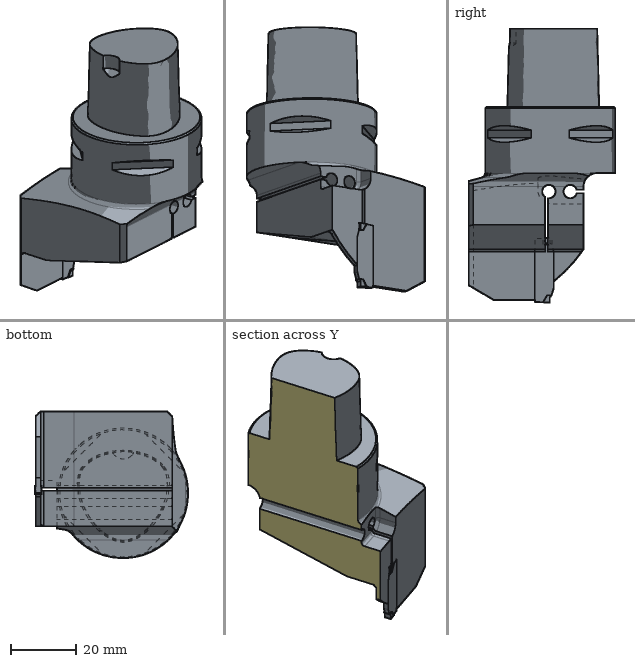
import cadquery as cq
import math


TOTAL_HEIGHT = 84
TOTAL_WIDTH = 47

CLEARANCE = 0.8

SHANK_LENGTH = 23.9
SHANK_BASE_RADIUS = 14.1
SHANK_TAPER = 1 / 40
LOBE_SIZE = 0.9
LOBE_COUNT = 3
OUTLINE_POINTS = 36

NOTCH_RADIUS = 3.6
NOTCH_AXIS_Y = -14.1
NOTCH_DEPTH = 4.4
NOTCH_POINT_DEPTH = 2.9

FLANGE_RADIUS = 40.0 / 2
FLANGE_HEIGHT = 20.3
FLANGE_CHAMFER = 0.5
GROOVE_Z = -8.3
GROOVE_FLOOR_DISTANCE = 17.6
GROOVE_FLOOR_WIDTH = 2.35
GROOVE_FLANK_ANGLE = 30
GROOVE_LENGTH = 2 * FLANGE_RADIUS
GROOVE_COUNT = 4

INSERT_BOTTOM = SHANK_LENGTH - TOTAL_HEIGHT
INSERT_LENGTH = 20.0
INSERT_FRONT = 1.1
INSERT_BACK = -4.7
INSERT_RAKE_Y = -0.1
INSERT_RIDGE_HALF = 5.55
INSERT_HEAD_HALF = 7.7
INSERT_RAKE_HALF = 8.3
INSERT_HEAD_Y = 0.4
HEAD_CORNER_Y = -0.9
HEAD_BACK_Y = -2.3
END_RELIEF = 0.25
HEAD_WIDTH = 2.1
HEAD_OVERHANG = 0.25

BLOCK_BACK = 10.25
BLOCK_FRONT = -25.0
BLOCK_RIGHT = 15.0
HEAD_LEFT = FLANGE_RADIUS - TOTAL_WIDTH
BLOCK_LEFT = HEAD_LEFT + HEAD_OVERHANG
BLOCK_BOTTOM = -43.6
UNDERSIDE_KNEE_X = -15.1
UNDERSIDE_RIGHT_Z = -36.1
FLARE_RADIUS = 4.0
CORNER_CHAMFER = 1.5
SHOULDER_ANGLE = 15
SHOULDER_FILLET = 1.35

REACH = 50.4
OPEN_BACK_Y = BLOCK_BACK + 2 * FLARE_RADIUS

BLADE_THICKNESS = 1.6
BLADE_BACK_X = BLOCK_LEFT + BLADE_THICKNESS
BLADE_BOTTOM = -59.2
BLADE_ROOT_CHAMFER = 0.8
BLADE_FRONT_KNEE_Y = -17.3
BLADE_FRONT_CORNER_Z = -54.7
BLADE_ARC_MIDDLE = (5.7, -49.2)
BLADE_ARC_END_Z = -53.5

POCKET_WALL_X = -20.25
POCKET_FLOOR_Z = -29.65
POCKET_END_Y = -3.9
POCKET_CORNER_RADIUS = 4.2
POCKET_FILLET = 1.0

FLEX_HOLE_DIAMETER = 4.0
FLEX_HOLE_Z = -25.95
OUTER_HOLE_Y = 6.1
INNER_HOLE_Y = -0.4
OUTER_SLOT_WIDTH = 1.0
SLIT_Y = -1.2
SLIT_WIDTH = 0.8


def lobed_wire(radius, z):
    """Outline whose tangents lie at a distance of radius + LOBE_SIZE * cos(phase) from the axis."""
    points = []
    for i in range(OUTLINE_POINTS):
        angle = 2 * math.pi * i / OUTLINE_POINTS
        phase = LOBE_COUNT * (angle - math.pi / 2)
        support = radius + LOBE_SIZE * math.cos(phase)
        slope = -LOBE_COUNT * LOBE_SIZE * math.sin(phase)
        x = support * math.cos(angle) - slope * math.sin(angle)
        y = support * math.sin(angle) + slope * math.cos(angle)
        points.append(cq.Vector(x, y, z))
    return cq.Wire.assembleEdges([cq.Edge.makeSpline(points, periodic=True)])


def make_shank():
    end_radius = SHANK_BASE_RADIUS - SHANK_TAPER * SHANK_LENGTH
    base = lobed_wire(SHANK_BASE_RADIUS, 0)
    end = lobed_wire(end_radius, SHANK_LENGTH)
    shank = cq.Workplane(cq.Solid.makeLoft([base, end], True))

    shoulder_z = SHANK_LENGTH - NOTCH_DEPTH
    notch = (
        cq.Workplane("XZ")
        .moveTo(0, SHANK_LENGTH + CLEARANCE)
        .lineTo(NOTCH_RADIUS, SHANK_LENGTH + CLEARANCE)
        .lineTo(NOTCH_RADIUS, shoulder_z)
        .lineTo(0, shoulder_z - NOTCH_POINT_DEPTH)
        .close()
        .revolve(360, (0, 0, 0), (0, 1, 0))
        .translate((0, NOTCH_AXIS_Y, 0))
    )
    return shank.cut(notch)


def make_flange():
    flange = cq.Workplane("XY").circle(FLANGE_RADIUS).extrude(-FLANGE_HEIGHT)
    flange = flange.faces(">Z").chamfer(FLANGE_CHAMFER)

    rim_distance = FLANGE_RADIUS + CLEARANCE
    floor_half = GROOVE_FLOOR_WIDTH / 2
    flank = math.tan(math.radians(GROOVE_FLANK_ANGLE))
    rim_half = floor_half + (rim_distance - GROOVE_FLOOR_DISTANCE) * flank
    groove = (
        cq.Workplane("XZ")
        .moveTo(GROOVE_FLOOR_DISTANCE, GROOVE_Z - floor_half)
        .lineTo(rim_distance, GROOVE_Z - rim_half)
        .lineTo(rim_distance, GROOVE_Z + rim_half)
        .lineTo(GROOVE_FLOOR_DISTANCE, GROOVE_Z + floor_half)
        .close()
        .extrude(GROOVE_LENGTH / 2, both=True)
    )
    step = 360 / GROOVE_COUNT
    for i in range(GROOVE_COUNT):
        flange = flange.cut(groove.rotate((0, 0, 0), (0, 0, 1), (i + 0.5) * step))
    return flange


def make_block():
    """Block and blade: the common volume of three outlines and the conical shoulder."""
    top = -FLANGE_HEIGHT
    flare_end = top - FLARE_RADIUS
    flare_sag = FLARE_RADIUS * (1 - math.sqrt(0.5))

    along_y = (
        cq.Workplane("XZ")
        .moveTo(BLOCK_LEFT, top)
        .lineTo(BLOCK_RIGHT + FLARE_RADIUS, top)
        .threePointArc((BLOCK_RIGHT + flare_sag, top - flare_sag), (BLOCK_RIGHT, flare_end))
        .lineTo(BLOCK_RIGHT, UNDERSIDE_RIGHT_Z)
        .lineTo(UNDERSIDE_KNEE_X, BLOCK_BOTTOM)
        .lineTo(BLADE_BACK_X + BLADE_ROOT_CHAMFER, BLOCK_BOTTOM)
        .lineTo(BLADE_BACK_X, BLOCK_BOTTOM - BLADE_ROOT_CHAMFER)
        .lineTo(BLADE_BACK_X, BLADE_BOTTOM)
        .lineTo(BLOCK_LEFT, BLADE_BOTTOM)
        .close()
        .extrude(REACH, both=True)
    )
    along_x = (
        cq.Workplane("YZ")
        .moveTo(BLOCK_FRONT, top)
        .lineTo(BLOCK_BACK + FLARE_RADIUS, top)
        .threePointArc((BLOCK_BACK + flare_sag, top - flare_sag), (BLOCK_BACK, flare_end))
        .lineTo(BLOCK_BACK, BLOCK_BOTTOM)
        .threePointArc(BLADE_ARC_MIDDLE, (INSERT_FRONT, BLADE_ARC_END_Z))
        .lineTo(INSERT_BACK, BLADE_ARC_END_Z)
        .lineTo(INSERT_BACK, BLADE_BOTTOM)
        .lineTo(BLADE_FRONT_KNEE_Y, BLADE_BOTTOM)
        .lineTo(BLOCK_FRONT, BLADE_FRONT_CORNER_Z)
        .close()
        .extrude(REACH, both=True)
    )
    along_z = (
        cq.Workplane("XY")
        .workplane(offset=INSERT_BOTTOM)
        .moveTo(BLOCK_LEFT, REACH)
        .lineTo(BLOCK_LEFT, BLOCK_FRONT + CORNER_CHAMFER)
        .lineTo(BLOCK_LEFT + CORNER_CHAMFER, BLOCK_FRONT)
        .lineTo(BLOCK_RIGHT - CORNER_CHAMFER, BLOCK_FRONT)
        .lineTo(BLOCK_RIGHT, BLOCK_FRONT + CORNER_CHAMFER)
        .lineTo(BLOCK_RIGHT + FLARE_RADIUS, BLOCK_FRONT + CORNER_CHAMFER)
        .lineTo(BLOCK_RIGHT + FLARE_RADIUS, REACH)
        .close()
        .extrude(-INSERT_BOTTOM)
    )
    return along_y.intersect(along_x).intersect(along_z).intersect(make_shoulder())


def make_shoulder():
    """Solid under a cone that leaves the flange rim through a small fillet."""
    slope = math.radians(SHOULDER_ANGLE)
    turn = math.pi / 2 - slope
    top = -FLANGE_HEIGHT
    tangent = SHOULDER_FILLET * math.tan(turn / 2)
    corner_z = top - tangent
    fillet_end = (FLANGE_RADIUS + tangent * math.cos(slope), corner_z - tangent * math.sin(slope))
    fillet_middle = (
        FLANGE_RADIUS + SHOULDER_FILLET * (1 - math.cos(turn / 2)),
        top - SHOULDER_FILLET * math.sin(turn / 2),
    )
    rim_z = corner_z - (REACH - FLANGE_RADIUS) * math.tan(slope)
    return (
        cq.Workplane("XZ")
        .moveTo(0, top)
        .lineTo(FLANGE_RADIUS, top)
        .threePointArc(fillet_middle, fillet_end)
        .lineTo(REACH, rim_z)
        .lineTo(REACH, INSERT_BOTTOM)
        .lineTo(0, INSERT_BOTTOM)
        .close()
        .revolve(360, (0, 0, 0), (0, 1, 0))
    )


def make_side_pocket():
    """Recess above the finger, rounded at its inner end and along its wall."""
    return (
        cq.Workplane("YZ")
        .workplane(offset=POCKET_WALL_X)
        .moveTo(POCKET_END_Y, -FLANGE_HEIGHT)
        .lineTo(POCKET_END_Y, POCKET_FLOOR_Z + POCKET_CORNER_RADIUS)
        .radiusArc((POCKET_END_Y + POCKET_CORNER_RADIUS, POCKET_FLOOR_Z), -POCKET_CORNER_RADIUS)
        .lineTo(OPEN_BACK_Y, POCKET_FLOOR_Z)
        .lineTo(OPEN_BACK_Y, -FLANGE_HEIGHT)
        .close()
        .extrude(HEAD_LEFT - POCKET_WALL_X)
        .faces(">X")
        .edges("<Z or <Y or %CIRCLE")
        .fillet(POCKET_FILLET)
    )


def cross_bar(y_min, y_max, z_min, z_max):
    """Bar along X through the whole block."""
    bar = cq.Workplane("XY").box(2 * REACH, y_max - y_min, z_max - z_min)
    return bar.translate((0, (y_min + y_max) / 2, (z_min + z_max) / 2))


def make_flexure():
    """Two cross holes, the slot out to the back and the slit down to the insert."""
    half_slot = OUTER_SLOT_WIDTH / 2
    half_slit = SLIT_WIDTH / 2
    holes = (
        cq.Workplane("YZ")
        .pushPoints([(OUTER_HOLE_Y, FLEX_HOLE_Z), (INNER_HOLE_Y, FLEX_HOLE_Z)])
        .circle(FLEX_HOLE_DIAMETER / 2)
        .extrude(REACH, both=True)
    )
    slot = cross_bar(OUTER_HOLE_Y, OPEN_BACK_Y, FLEX_HOLE_Z - half_slot, FLEX_HOLE_Z + half_slot)
    slit_bottom = BLOCK_BOTTOM - BLADE_ROOT_CHAMFER
    slit = cross_bar(SLIT_Y - half_slit, SLIT_Y + half_slit, slit_bottom, FLEX_HOLE_Z)
    return holes.union(slot).union(slit)


def make_insert():
    """Double-ended insert: a flat body with a wider cutting head at each end."""
    middle_z = INSERT_BOTTOM + INSERT_LENGTH / 2
    half = INSERT_LENGTH / 2
    end_profile = [
        (INSERT_FRONT, 0),
        (INSERT_FRONT, -INSERT_RIDGE_HALF),
        (INSERT_HEAD_Y, -INSERT_HEAD_HALF),
        (INSERT_RAKE_Y, -INSERT_RAKE_HALF),
        (INSERT_RAKE_Y, -half),
        (INSERT_BACK, -half + END_RELIEF),
        (INSERT_BACK, 0),
    ]
    relief_at_head = END_RELIEF * (INSERT_RAKE_Y - HEAD_BACK_Y) / (INSERT_RAKE_Y - INSERT_BACK)
    head_profile = [
        (INSERT_HEAD_Y, -INSERT_HEAD_HALF),
        (INSERT_RAKE_Y, -INSERT_RAKE_HALF),
        (INSERT_RAKE_Y, -half),
        (HEAD_BACK_Y, -half + relief_at_head),
        (HEAD_CORNER_Y, -INSERT_HEAD_HALF),
    ]
    body_end = cq.Workplane("YZ").workplane(offset=BLOCK_LEFT).polyline(end_profile).close()
    head = cq.Workplane("YZ").workplane(offset=HEAD_LEFT).polyline(head_profile).close()
    lower = body_end.extrude(BLADE_THICKNESS).union(head.extrude(HEAD_WIDTH))
    upper = lower.mirror("XY")
    return lower.union(upper).clean().translate((0, 0, middle_z))


def make_insert_clearance():
    """Open space around the unused upper cutting head."""
    top = INSERT_BOTTOM + INSERT_LENGTH
    depth = INSERT_LENGTH / 2 - INSERT_HEAD_HALF
    return (
        cq.Workplane("XY")
        .box(HEAD_WIDTH, INSERT_HEAD_Y - HEAD_BACK_Y, depth, centered=False)
        .translate((HEAD_LEFT, HEAD_BACK_Y, top - depth))
    )


def make_holder(insert_body):
    """Shank, flange and block in one piece, with a seat shaped to the insert."""
    block = make_block().cut(make_side_pocket()).cut(make_flexure())
    block = block.cut(make_insert_clearance()).cut(insert_body)
    return block.union(make_flange()).union(make_shank()).solids()


insert = make_insert()
holder = make_holder(insert)

result = cq.Compound.makeCompound([holder.val(), insert.solids().val()])